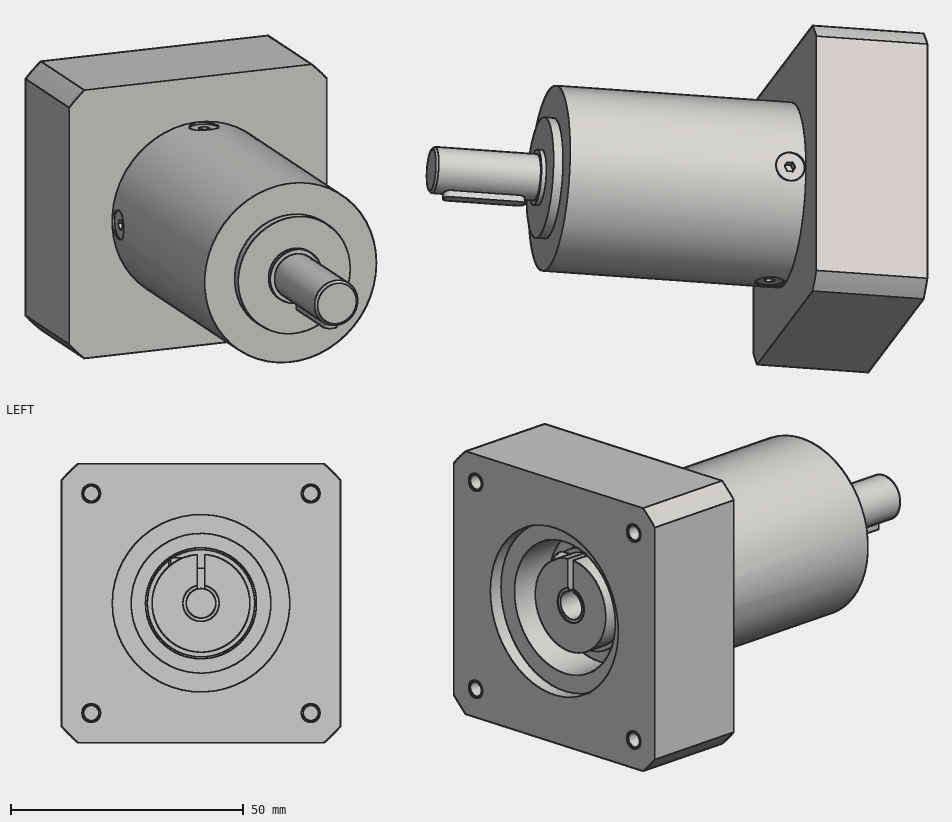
import cadquery as cq
import math


MOUTH_DEPTH = 0.2

FLANGE_SIDE = 60.0
FLANGE_END = 24.5
CORNER_DIAMETER = 80.0
BOLT_OFFSET = 23.6
BOLT_DIAMETER = 3.3
BOLT_MOUTH_DIAMETER = 4.0
BOLT_DEPTH = 10.2

PILOT_RECESS_DIAMETER = 38.1
PILOT_RECESS_DEPTH = 3.3
CLAMP_CHAMBER_DIAMETER = 30.0
CLAMP_CHAMBER_DEPTH = 13.9
HUB_GAP_DIAMETER = 23.9
HUB_GAP_DEPTH = 18.5

HUB_FRONT = 5.0
HUB_STEP = 10.5
HUB_NOSE_DIAMETER = 21.0
HUB_DIAMETER = 23.1
BORE_DIAMETER = 6.4
BORE_MOUTH_DIAMETER = 7.8
BORE_DEPTH = 24.6
SLOT_WIDTH = 1.5
SLEEVE_DIAMETER = 15.1
SLEEVE_SLOT_END = 15.4
SCREW_STATION = 8.5
SCREW_HEIGHT = 7.0
SCREW_HEAD_DIAMETER = 5.5
SCREW_HEAD_END = 7.0
SCREW_HEAD_CHAMFER = 0.5

BODY_DIAMETER = 40.0
BODY_END = 76.5
CENTERING_DIAMETER = 26.0
CENTERING_END = 78.5
COLLAR_DIAMETER = 12.0
COLLAR_END = 79.5
SHAFT_DIAMETER = 10.0
SHAFT_END = 102.5
SHAFT_CHAMFER = 0.5

KEY_WIDTH = 3.0
KEY_START = 81.9
KEY_LENGTH = 18.0
KEY_REACH = 6.3
KEY_HEIGHT = 3.0

PLUG_COUNT = 4
PLUG_STATION = 27.9
PLUG_DIAMETER = 6.4
PLUG_FACE_RADIUS = 19.5
SOCKET_ACROSS_FLATS = 2.0
SOCKET_DEPTH = 2.0


def disc(diameter, start, end):
    """Solid cylinder on the X axis between two stations."""
    return cq.Workplane("YZ", origin=(start, 0, 0)).circle(diameter / 2).extrude(end - start)


def flange():
    """Square plate whose corners are turned to a common diameter."""
    plate = cq.Workplane("YZ").rect(FLANGE_SIDE, FLANGE_SIDE).extrude(FLANGE_END)
    return plate.intersect(disc(CORNER_DIAMETER, 0, FLANGE_END))


def output_side():
    """Body, centering shoulder, collar and shaft stacked along X."""
    shaft = disc(SHAFT_DIAMETER, COLLAR_END, SHAFT_END).faces(">X").chamfer(SHAFT_CHAMFER)
    stack = disc(BODY_DIAMETER, FLANGE_END, BODY_END)
    stack = stack.union(disc(CENTERING_DIAMETER, BODY_END, CENTERING_END))
    stack = stack.union(disc(COLLAR_DIAMETER, CENTERING_END, COLLAR_END))
    return stack.union(shaft)


def shaft_key():
    """Round-ended key standing out of the shaft towards -Z."""
    return (
        cq.Workplane("XY", origin=(KEY_START + KEY_LENGTH / 2, 0, -KEY_REACH))
        .slot2D(KEY_LENGTH, KEY_WIDTH)
        .extrude(KEY_HEIGHT)
    )


def recesses():
    """Stepped cavity open to the motor face."""
    cavity = disc(PILOT_RECESS_DIAMETER, 0, PILOT_RECESS_DEPTH)
    cavity = cavity.union(disc(CLAMP_CHAMBER_DIAMETER, 0, CLAMP_CHAMBER_DEPTH))
    return cavity.union(disc(HUB_GAP_DIAMETER, 0, HUB_GAP_DEPTH))


def slot_cutter(bottom, top, end):
    """Radial slot segment above the axis, from the hub front to a station."""
    return cq.Workplane("XY").box(
        end - HUB_FRONT, SLOT_WIDTH, top - bottom, centered=(False, True, False)
    ).translate((HUB_FRONT, 0, bottom))


def clamp_hub():
    """Slotted clamp hub with the head of its clamping screw standing out on the +Y side."""
    hub = disc(HUB_NOSE_DIAMETER, HUB_FRONT, HUB_STEP)
    hub = hub.union(disc(HUB_DIAMETER, HUB_STEP, HUB_GAP_DEPTH))
    hub = hub.cut(slot_cutter(0, SLEEVE_DIAMETER / 2, SLEEVE_SLOT_END))
    hub = hub.cut(slot_cutter(SLEEVE_DIAMETER / 2, HUB_NOSE_DIAMETER / 2, HUB_STEP))
    screw_head = (
        cq.Workplane("XZ", origin=(SCREW_STATION, SCREW_HEAD_END, SCREW_HEIGHT))
        .circle(SCREW_HEAD_DIAMETER / 2)
        .extrude(SCREW_HEAD_END - SLOT_WIDTH / 2)
        .faces(">Y")
        .chamfer(SCREW_HEAD_CHAMFER)
    )
    return hub.union(screw_head)


def motor_bore():
    """Blind shaft bore with a shallow wider mouth at the hub front."""
    bore = disc(BORE_DIAMETER, HUB_FRONT, HUB_FRONT + BORE_DEPTH)
    return bore.union(disc(BORE_MOUTH_DIAMETER, HUB_FRONT, HUB_FRONT + MOUTH_DEPTH))


def bolt_holes():
    """Four blind holes with a shallow wider mouth in the motor face."""
    hole = disc(BOLT_DIAMETER, 0, BOLT_DEPTH)
    hole = hole.union(disc(BOLT_MOUTH_DIAMETER, 0, MOUTH_DEPTH))
    holes = cq.Workplane("YZ")
    for y in (-BOLT_OFFSET, BOLT_OFFSET):
        for z in (-BOLT_OFFSET, BOLT_OFFSET):
            holes = holes.add(hole.translate((0, y, z)))
    return holes.combine()


def plug_cutter():
    """Flat plug face and hexagon socket cut into the top of the body."""
    face = (
        cq.Workplane("XY", origin=(PLUG_STATION, 0, PLUG_FACE_RADIUS))
        .circle(PLUG_DIAMETER / 2)
        .extrude(BODY_DIAMETER / 2 - PLUG_FACE_RADIUS)
    )
    socket = (
        cq.Workplane("XY", origin=(PLUG_STATION, 0, PLUG_FACE_RADIUS))
        .polygon(6, SOCKET_ACROSS_FLATS / math.cos(math.pi / 6))
        .extrude(-SOCKET_DEPTH)
    )
    return face.union(socket)


result = flange().union(output_side()).union(shaft_key())
result = result.cut(recesses()).union(clamp_hub())
result = result.cut(motor_bore()).cut(bolt_holes())
for index in range(PLUG_COUNT):
    angle = index * 360 / PLUG_COUNT
    result = result.cut(plug_cutter().rotate((0, 0, 0), (1, 0, 0), angle))